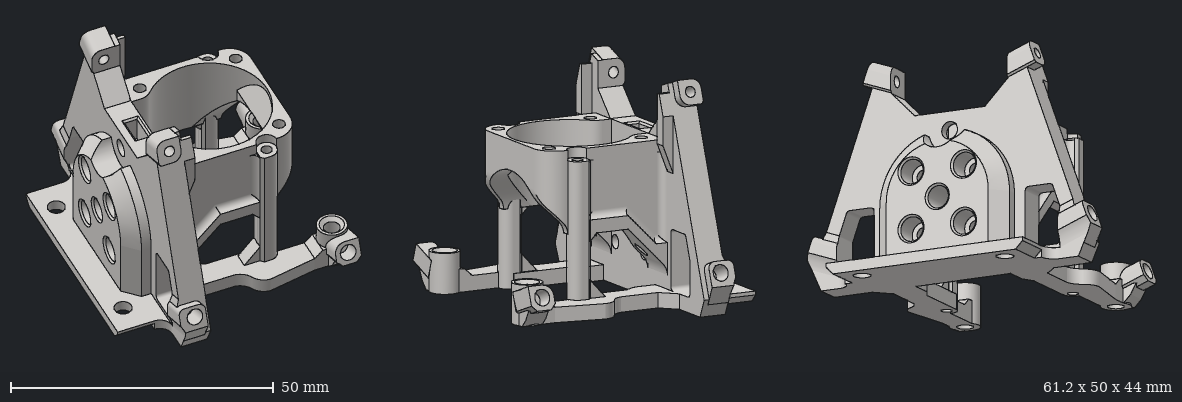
import cadquery as cq
import math


PLATE_T = 5.5
FOOT_X = 27.78
TAB_X, TAB_Z = 29.43, 3.65
TILT = 20.0
HORN_X = 12.5
HORN_SLOPE = 4.95
HORN_EDGE_Z = 43.25
DECK_Z = 32.0
SIN_T = math.sin(math.radians(TILT))
COS_T = math.cos(math.radians(TILT))
TAN_T = SIN_T / COS_T
CLEAR = 15.0

WINDOW_IN_X, WINDOW_OUT_X = 16.3, 23.8
WINDOW_TOP_Z, WINDOW_BEND_Z = 15.05, 10.3
WINDOW_R = 0.8

BASE_T = 3.05
FLANGE_T = 2.25
FLANGE_X = 21.2
FLANGE_Y = -10.25
FLANGE_BEVEL = 1.5
FLANGE_FILLET = 2.6
FLANGE_HOLE_X, FLANGE_HOLE_Y, FLANGE_HOLE_D = 15.4, -6.5, 3.4

PAD_R = 14.0
PAD_Z = 14.05
PAD_DEPTH = 5.0
PAD_BEVEL = 3.0
MOTOR_PITCH_R = 8.0
MOTOR_SCREW_D, MOTOR_HEAD_D, MOTOR_HEAD_DEPTH = 2.7, 4.8, 5.0
MOTOR_AXLE_D = 4.4
MOTOR_EDGE = 0.4
NOTCH_R = 4.4
CLAMP_Z, CLAMP_D = 28.2, 3.4

NUT_W, NUT_T, NUT_Y = 5.4, 2.6, 3.3
NUT_EDGE = 0.4

TOWER_X = 13.5
FRAME_TOP_Z = 29.6
FRAME_X = 15.0
TOWER_BACK_Y = 31.3
TOWER_CORNER_R = 4.5
BORE_Y, BORE_R = 18.5, 12.0
THROAT_X = 7.2
THROAT_R = 3.0
TOWER_HOLE_PITCH, TOWER_HOLE_D = 20.0, 2.4
BACK_HOLE_DEPTH = 8.0
TOWER_LOW_Z = 15.65
OPENING_BEND_Y = 14.04
OPENING_END_Y = 6.74
OPENING_ARC_Z = 5.8
PANEL_Z = 18.3
PANEL_FILLET = 1.4
BACK_KNEE_Z = 24.0
BACK_LEDGE_Y = 27.7
LEDGE_Z = 26.0
LEDGE_TOP_Z = 31.0

POST_X, POST_Y, POST_R = 13.6, 24.3, 2.05
POST_TOP_Z, POST_HOLE_D = 30.0, 2.1
POST_FRONT_Y = 22.3
POST_BEVEL = 0.6
HEAD_RECESS_R = 2.05

ARM_OUT_X, ARM_IN_X = -18.75, -13.84
ARM_TUBE_X, ARM_TUBE_Y, ARM_TUBE_R, ARM_TUBE_H = 16.25, 36.7, 3.0, 8.0
TUBE_HOLE_D, TUBE_MOUTH_D = 3.2, 4.8
SIDE_HOLE_D = 3.2
FOOT_HOLE_DEPTH, ARM_HOLE_DEPTH = 5.0, 4.0
HORN_HOLE_D = 2.1


def box(x0, x1, y0, y1, z0, z1):
    return cq.Workplane("XY").box(x1 - x0, y1 - y0, z1 - z0, centered=False).translate((x0, y0, z0))


def rod(x, z, diameter, y0, y1):
    """Cylinder along Y."""
    return cq.Workplane("XZ", origin=(x, y0, z)).circle(diameter / 2).extrude(y0 - y1)


def pin(x, y, diameter, z0, z1):
    """Cylinder along Z."""
    return cq.Workplane("XY", origin=(x, y, z0)).circle(diameter / 2).extrude(z1 - z0)


def both_sides(left):
    return left.union(left.mirror("YZ"))


def side_x(z):
    """X of the left leaning side of the plate at height z."""
    return -TAB_X + (z - TAB_Z) * TAN_T


def tilted_plane(x, y, z):
    """Plane on a boss end, local x along Y, local y up the leaning side, normal inwards."""
    return cq.Plane(origin=(x, y, z), xDir=(0, 1, 0), normal=(COS_T, 0, -SIN_T))


def plate():
    horn_x = side_x(HORN_EDGE_Z)
    horn_in_z = HORN_EDGE_Z - (-HORN_X - horn_x) * TAN_T
    outline = [
        (0, 0), (-FOOT_X, 0), (-TAB_X, TAB_Z), (horn_x, HORN_EDGE_Z), (-HORN_X, horn_in_z),
        (-HORN_X, DECK_Z + HORN_SLOPE), (-HORN_X + HORN_SLOPE, DECK_Z), (0, DECK_Z),
    ]
    half = cq.Workplane("XZ").polyline(outline).close().extrude(-PLATE_T)
    window = [
        (-WINDOW_IN_X, BASE_T), (-WINDOW_OUT_X, BASE_T), (-WINDOW_OUT_X, WINDOW_BEND_Z),
        (-WINDOW_OUT_X + (WINDOW_TOP_Z - WINDOW_BEND_Z) * TAN_T, WINDOW_TOP_Z),
        (-WINDOW_IN_X, WINDOW_TOP_Z),
    ]
    hole = cq.Workplane("XZ").polyline(window).close().extrude(-PLATE_T)
    return half.cut(hole.edges("|Y").fillet(WINDOW_R))


def horn_rib():
    """Rib behind a horn, fading into the plate at its lower end."""
    rib_y, rib_in_x, rib_out_x = 7.7, -14.9, -17.2
    top_z, low_z, end_z = 41.4, 31.6, 26.0
    profile = [(PLATE_T, end_z), (rib_y, low_z), (rib_y, top_z), (PLATE_T, top_z)]
    rib = cq.Workplane("YZ", origin=(rib_out_x, 0, 0)).polyline(profile).close()
    rib = rib.extrude(rib_in_x - rib_out_x)
    lean = [(side_x(end_z), end_z), (side_x(top_z), top_z), (0, top_z), (0, end_z)]
    return rib.intersect(cq.Workplane("XZ").polyline(lean).close().extrude(-rib_y))


def horn_boss():
    """Boss on a horn; returns body, hole and the plate relief its rounded front needs."""
    end_x, end_y, end_z = -17.8, 2.1, 41.66
    front, back, half_h = -2.5, 2.35, 2.5
    front_r, back_r, bevel = 1.9, 2.0, 0.4
    plane = tilted_plane(end_x, end_y, end_z)
    length = 9.0
    body = (
        cq.Workplane(plane)
        .moveTo(front, -half_h + bevel)
        .lineTo(front + bevel, -half_h)
        .lineTo(back - back_r, -half_h)
        .radiusArc((back, -half_h + back_r), -back_r)
        .lineTo(back, half_h)
        .lineTo(front + front_r, half_h)
        .radiusArc((front, half_h - front_r), -front_r)
        .close()
        .extrude(length)
    )
    hole = cq.Workplane(plane).circle(HORN_HOLE_D / 2).extrude(length)
    keep = box(-FOOT_X, -HORN_X, -PLATE_T, PLATE_T, DECK_Z, DECK_Z + CLEAR)
    relief = cq.Workplane(plane).moveTo(-end_y, 0).lineTo(0, 0).lineTo(0, 2 * half_h)
    relief = relief.lineTo(-end_y, 2 * half_h).close().extrude(length)
    return body.intersect(keep), hole, relief


def foot_boss():
    """Boss low on the plate side, blended into the tab beneath it; returns body and hole."""
    end_x, end_y, end_z = -29.68, 2.05, 8.69
    front, back, top, bottom = -3.1, 2.36, 2.3, -2.65
    front_r, back_r = 1.2, 1.4
    blend_h = 1.5
    root, hollow = -5.5, 0.4
    blend_top, blend_low = 1.3, 0.5
    plane = tilted_plane(end_x, end_y, end_z)
    length = 9.0
    body = (
        cq.Workplane(plane)
        .moveTo(back, root)
        .lineTo(back, top - back_r)
        .radiusArc((back - back_r, top), -back_r)
        .lineTo(front + front_r, top)
        .radiusArc((front, top - front_r), -front_r)
        .lineTo(front, bottom + blend_h)
        .threePointArc((-end_y - hollow, bottom + hollow / 2), (-end_y, bottom - blend_h))
        .lineTo(-end_y, root)
        .close()
        .extrude(length)
    )
    hole = cq.Workplane(plane).circle(SIDE_HOLE_D / 2).extrude(FOOT_HOLE_DEPTH)
    low_x = end_x + bottom * SIN_T
    low_z = end_z + bottom * COS_T
    limit = [
        (-FOOT_X, 0), (low_x, low_z), (low_x, DECK_Z), (-WINDOW_OUT_X, DECK_Z), (-WINDOW_OUT_X, 0),
    ]
    keep = cq.Workplane("XZ", origin=(0, PLATE_T, 0)).polyline(limit).close().extrude(2 * PLATE_T)

    blend = [(-end_y, top + blend_top), (front + hollow, top - blend_low), (-end_y, top - blend_low)]
    ramp = cq.Workplane(plane).polyline(blend).close().extrude(length)
    lean = [(side_x(0), 0), (side_x(DECK_Z), DECK_Z), (0, DECK_Z), (0, 0)]
    inside = cq.Workplane("XZ", origin=(0, PLATE_T, 0)).polyline(lean).close().extrude(2 * PLATE_T)
    ramp = ramp.intersect(inside)
    return body.union(ramp).intersect(keep), hole


def flange():
    root_x = FLANGE_X + FLANGE_FILLET
    half = (
        cq.Workplane("XY")
        .moveTo(0, 0)
        .lineTo(-root_x, 0)
        .radiusArc((-FLANGE_X, -FLANGE_FILLET), FLANGE_FILLET)
        .lineTo(-FLANGE_X, FLANGE_Y)
        .lineTo(0, FLANGE_Y)
        .close()
        .extrude(FLANGE_T)
    )
    bevel = [(-FLANGE_X, 0), (-FLANGE_X + FLANGE_BEVEL, 0), (-FLANGE_X, FLANGE_BEVEL)]
    cutter = cq.Workplane("XZ", origin=(0, -FLANGE_FILLET, 0)).polyline(bevel).close()
    half = half.cut(cutter.extrude(-FLANGE_Y))
    return half.cut(pin(-FLANGE_HOLE_X, FLANGE_HOLE_Y, FLANGE_HOLE_D, 0, FLANGE_T))


def motor_pad():
    pad = (
        cq.Workplane("XZ")
        .moveTo(-PAD_R, 0)
        .lineTo(-PAD_R, PAD_Z)
        .threePointArc((0, PAD_Z + PAD_R), (PAD_R, PAD_Z))
        .lineTo(PAD_R, 0)
        .close()
        .extrude(PAD_DEPTH)
    )
    pad = pad.faces("<Y").edges("not(<Z)").chamfer(PAD_BEVEL)
    return pad.cut(rod(0, CLAMP_Z, 2 * NOTCH_R, -PAD_DEPTH, 0))


def cone_edge(x, z, diameter):
    """Chamfer cutter for a hole mouth on the pad face."""
    plane = cq.Workplane("XZ", origin=(x, -PAD_DEPTH, z))
    return plane.circle(diameter / 2 + MOTOR_EDGE).extrude(-MOTOR_EDGE, taper=45)


def motor_holes():
    cutter = rod(0, PAD_Z, MOTOR_AXLE_D, -PAD_DEPTH, PLATE_T)
    cutter = cutter.union(cone_edge(0, PAD_Z, MOTOR_AXLE_D))
    offset = MOTOR_PITCH_R / math.sqrt(2)
    for sx in (-1, 1):
        for sz in (-1, 1):
            x = sx * offset
            z = PAD_Z + sz * offset
            cutter = cutter.union(rod(x, z, MOTOR_SCREW_D, -PAD_DEPTH, PLATE_T))
            cutter = cutter.union(rod(x, z, MOTOR_HEAD_D, -PAD_DEPTH, MOTOR_HEAD_DEPTH - PAD_DEPTH))
            cutter = cutter.union(cone_edge(x, z, MOTOR_HEAD_D))
    return cutter


def nut_slot():
    """Drop-in slot for the clamp nut, ending in the lower half of its hexagon."""
    half_w = NUT_W / 2
    flank_z = CLAMP_Z - half_w * math.tan(math.radians(30))
    tip_z = CLAMP_Z - half_w / math.cos(math.radians(30))
    outline = [(-half_w, DECK_Z), (-half_w, flank_z), (0, tip_z), (half_w, flank_z), (half_w, DECK_Z)]
    slot = cq.Workplane("XZ", origin=(0, NUT_Y - NUT_T / 2, 0)).polyline(outline).close().extrude(-NUT_T)
    mouth = cq.Workplane("XY", origin=(0, NUT_Y, DECK_Z))
    mouth = mouth.rect(NUT_W + 2 * NUT_EDGE, NUT_T + 2 * NUT_EDGE).extrude(-NUT_EDGE, taper=45)
    return slot.union(mouth).union(rod(0, CLAMP_Z, CLAMP_D, 0, NUT_Y + NUT_T / 2))


def base_leg():
    """Flat leg from the plate to the rear arm; the outer edge is an S of two arcs."""
    waist_x, waist_y0, waist_y1 = -16.6, 8.5, 16.4
    flare_x, flare_y = -18.75, 19.1
    bulge_x, bulge_y = -20.5, 22.0
    taper_end_y = 32.0
    rim_x, front_x = -11.5, -10.2
    front_y, rim_y = 10.0, 12.5
    flare_r = 3.6
    return (
        cq.Workplane("XY")
        .moveTo(front_x, PLATE_T)
        .lineTo(waist_x - (waist_y0 - PLATE_T), PLATE_T)
        .lineTo(waist_x, waist_y0)
        .lineTo(waist_x, waist_y1)
        .radiusArc((flare_x, flare_y), -flare_r)
        .radiusArc((bulge_x, bulge_y), flare_r)
        .lineTo(ARM_OUT_X, taper_end_y)
        .lineTo(ARM_OUT_X, ARM_TUBE_Y)
        .lineTo(ARM_IN_X, ARM_TUBE_Y)
        .lineTo(ARM_IN_X, POST_Y + POST_R)
        .lineTo(rim_x, POST_Y)
        .lineTo(rim_x, rim_y)
        .lineTo(front_x, front_y)
        .close()
        .extrude(BASE_T)
    )


def arm_end():
    """Upright tube with a tilted side boss; returns body and bores."""
    end_x, end_y, end_z = -22.95, 37.1, 6.26
    half_w, top, bottom = 2.6, 2.4, -2.5
    round_r, bevel = 2.2, 1.1
    plane = tilted_plane(end_x, end_y, end_z)
    length = 6.5
    boss = (
        cq.Workplane(plane)
        .moveTo(-half_w + bevel, bottom)
        .lineTo(half_w - bevel, bottom)
        .lineTo(half_w, bottom + bevel)
        .lineTo(half_w, top)
        .lineTo(-half_w + round_r, top)
        .radiusArc((-half_w, top - round_r), -round_r)
        .lineTo(-half_w, bottom + bevel)
        .close()
        .extrude(length)
    )
    boss = boss.intersect(box(-2 * FOOT_X, 0, 0, 2 * ARM_TUBE_Y, 0, DECK_Z))
    support_w, support_h = 4.4, 3.6
    support = [
        (-ARM_TUBE_X, 0), (-18.9, 0), (-20.4, 1.5), (-21.6, support_h), (-ARM_TUBE_X, support_h),
    ]
    web = cq.Workplane("XZ", origin=(0, end_y - support_w / 2, 0)).polyline(support).close()
    body = boss.union(web.extrude(-support_w))
    body = body.union(pin(-ARM_TUBE_X, ARM_TUBE_Y, 2 * ARM_TUBE_R, 0, ARM_TUBE_H))
    ramp_y, ramp_run, ramp_top = ARM_TUBE_Y - ARM_TUBE_R, 1.7, BASE_T + 1.5
    ramp = [(ramp_y - ramp_run, BASE_T), (ramp_y, ramp_top), (ARM_TUBE_Y, ramp_top), (ARM_TUBE_Y, BASE_T)]
    rise = cq.Workplane("YZ", origin=(ARM_OUT_X, 0, 0)).polyline(ramp).close()
    body = body.union(rise.extrude(ARM_IN_X - ARM_OUT_X))
    bore = pin(-ARM_TUBE_X, ARM_TUBE_Y, TUBE_HOLE_D, 0, ARM_TUBE_H)
    edge = (TUBE_MOUTH_D - TUBE_HOLE_D) / 2
    mouth = cq.Workplane("XY", origin=(-ARM_TUBE_X, ARM_TUBE_Y, ARM_TUBE_H))
    bore = bore.union(mouth.circle(TUBE_MOUTH_D / 2).extrude(-edge, taper=45))
    bore = bore.union(cq.Workplane(plane).circle(SIDE_HOLE_D / 2).extrude(ARM_HOLE_DEPTH))
    return body, bore


def tower_profile():
    """Side outline of the tower: 45 degree slopes under its front and its back."""
    slope = math.sqrt(0.5)
    back_r, heel_r, front_r = 4.8, 3.1, 3.8
    heel_y, heel_z = POST_Y + POST_R, TOWER_LOW_Z
    drop_end_z = TOWER_LOW_Z - (OPENING_BEND_Y - OPENING_END_Y)
    return (
        cq.Workplane("YZ", origin=(-FRAME_X, 0, 0))
        .moveTo(PLATE_T, DECK_Z)
        .lineTo(PLATE_T, OPENING_ARC_Z)
        .radiusArc((OPENING_END_Y, drop_end_z), front_r)
        .lineTo(OPENING_BEND_Y, TOWER_LOW_Z)
        .lineTo(heel_y, heel_z)
        .radiusArc((heel_y + heel_r * (1 - slope), heel_z + heel_r * slope), heel_r)
        .lineTo(TOWER_BACK_Y - back_r * (1 - slope), BACK_KNEE_Z - back_r * slope)
        .radiusArc((TOWER_BACK_Y, BACK_KNEE_Z), -back_r)
        .lineTo(TOWER_BACK_Y, DECK_Z)
        .close()
        .extrude(2 * FRAME_X)
    )


def tower_bore():
    """Round bore open to the plate, with a ledge left along the back wall."""
    bore = pin(0, BORE_Y, 2 * BORE_R, 0, DECK_Z)
    throat_y = BORE_Y - BORE_R / 2
    bore = bore.union(box(-THROAT_X, THROAT_X, PLATE_T, throat_y, 0, DECK_Z))
    corner_y = PLATE_T + THROAT_R / 2
    lips = cq.selectors.BoxSelector((-BORE_R, corner_y, -CLEAR), (BORE_R, BORE_Y, DECK_Z + CLEAR))
    bore = bore.edges("|Z").edges(lips).fillet(THROAT_R)
    back_y = BORE_Y + BORE_R
    limit = [
        (PLATE_T, 0), (BACK_LEDGE_Y, 0), (BACK_LEDGE_Y, LEDGE_Z),
        (back_y, LEDGE_TOP_Z), (back_y, DECK_Z), (PLATE_T, DECK_Z),
    ]
    keep = cq.Workplane("YZ", origin=(-FRAME_X, 0, 0)).polyline(limit).close().extrude(2 * FRAME_X)
    return bore.intersect(keep)


def side_panel():
    """Recess in the left tower side with rounded floor edges."""
    outer_x = FRAME_X + PANEL_FILLET
    low_y = 7.9
    low_z = PANEL_Z - (OPENING_BEND_Y - low_y)
    outline = [
        (PLATE_T, DECK_Z + CLEAR), (PLATE_T, low_z), (low_y, low_z),
        (OPENING_BEND_Y, PANEL_Z), (POST_FRONT_Y, PANEL_Z), (POST_FRONT_Y, DECK_Z + CLEAR),
    ]
    tool = cq.Workplane("YZ", origin=(-outer_x, 0, 0)).polyline(outline).close()
    tool = tool.extrude(outer_x - TOWER_X)
    return tool.faces(">X").edges().fillet(PANEL_FILLET)


def tower():
    lower = box(-FRAME_X, FRAME_X, PLATE_T, POST_Y, 0, FRAME_TOP_Z)
    upper = box(-TOWER_X, TOWER_X, PLATE_T, TOWER_BACK_Y, 0, DECK_Z)
    body = lower.union(upper.edges("|Z and >Y").fillet(TOWER_CORNER_R)).intersect(tower_profile())
    body = body.cut(both_sides(side_panel()))
    body = body.cut(tower_bore())
    arch = rod(0, PAD_Z, 2 * BORE_R, BORE_Y, TOWER_BACK_Y)
    return body.cut(arch)


def tower_holes():
    half = TOWER_HOLE_PITCH / 2
    front = pin(-half, BORE_Y - half, TOWER_HOLE_D, BASE_T, DECK_Z)
    back = pin(-half, BORE_Y + half, TOWER_HOLE_D, DECK_Z - BACK_HOLE_DEPTH, DECK_Z)
    return front.union(back)


def post():
    """Screw post with a round back, a flat front and gussets into the frame and base."""
    front_y = POST_FRONT_Y
    block = box(-POST_X - POST_R, -POST_X + POST_R, front_y, POST_Y, 0, POST_TOP_Z)
    block = block.edges("|Z and <Y").chamfer(POST_BEVEL)
    body = block.union(pin(-POST_X, POST_Y, 2 * POST_R, 0, POST_TOP_Z))
    foot_l, foot_h, top_l = 3.3, 3.6, 1.5
    low = [(front_y, BASE_T), (front_y - foot_l, BASE_T), (front_y, BASE_T + foot_h)]
    high = [(front_y, TOWER_LOW_Z), (front_y - top_l, TOWER_LOW_Z), (front_y, TOWER_LOW_Z - top_l)]
    for gusset in (low, high):
        prism = cq.Workplane("YZ", origin=(-FRAME_X, 0, 0)).polyline(gusset).close()
        body = body.union(prism.extrude(FRAME_X - BORE_R))
    return body


def post_bore():
    hole = pin(-POST_X, POST_Y, POST_HOLE_D, 0, DECK_Z)
    return hole.union(pin(-POST_X, POST_Y, 2 * HEAD_RECESS_R, POST_TOP_Z, DECK_Z))


horn, horn_hole, horn_relief = horn_boss()
foot, foot_hole = foot_boss()
arm, arm_bore = arm_end()

left = plate().cut(horn_relief).union(horn_rib()).union(horn).union(foot).union(flange()).union(base_leg())
left = left.union(arm).union(post())
body = both_sides(left).union(motor_pad()).union(tower())

left_holes = horn_hole.union(foot_hole).union(arm_bore).union(post_bore()).union(tower_holes())
body = body.cut(both_sides(left_holes))
result = body.cut(motor_holes()).cut(nut_slot())